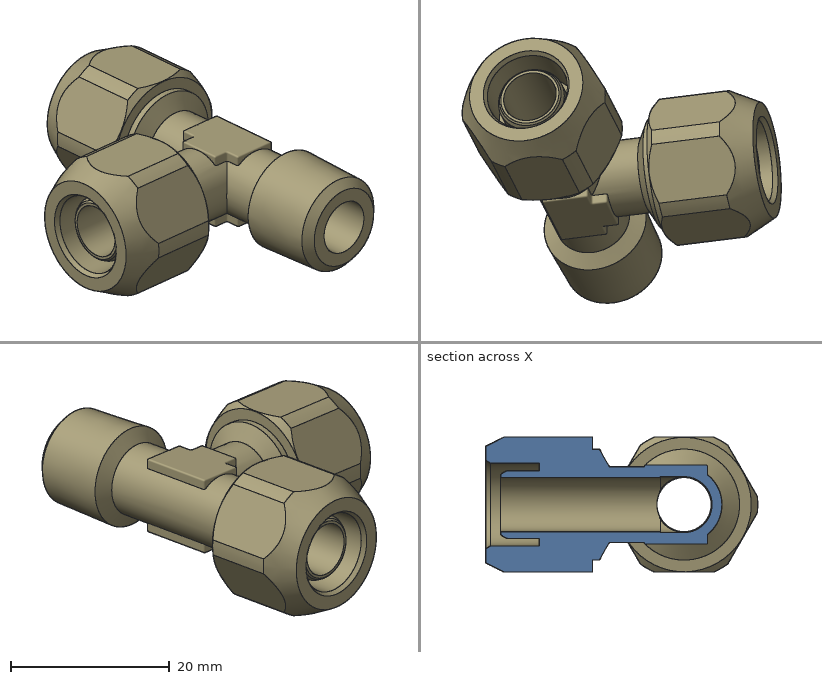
import cadquery as cq

overall_length = 46.0
compression_reach = 25.0
thread_reach = overall_length - compression_reach
pipe_radius = 4.8

thread_bore_radius = 3.5
spigot_bore_radius = 3.4
crossing_reach = 3.0

nut_length = 13.5
nut_across_flats = 17.0
nut_corner_radius = 9.3
nut_face_radius = 7.35
nut_taper_length = 3.85
nut_back_chamfer = 0.85
mouth_radius = 5.2
mouth_chamfer_width = 0.35
mouth_chamfer_depth = 0.6

collar_radius = 7.0
collar_length = 0.87
collar_taper_length = 1.25

spigot_recess = 1.9
spigot_root_radius = 4.3
spigot_shoulder_radius = 4.0
spigot_tip_chamfer = 0.25
spigot_taper_length = 0.55
socket_depth = nut_length / 2

thread_shoulder_start = 9.4
thread_start = 10.55
thread_root_radius = 6.62
thread_chamfer = 1.1
thread_taper = 1 / 32

pad_half_length = 5.0
pad_half_width = 3.0
pad_height = pad_half_length
pad_edge_radius = 0.25


def revolve_about_x(points):
    """Revolve a closed (axial position, radius) outline about the X axis."""
    return cq.Workplane("XY").polyline(points).close().revolve(360, (0, 0, 0), (1, 0, 0))


def cylinder_along_x(radius, start, end):
    return cq.Workplane("YZ").workplane(offset=start).circle(radius).extrude(end - start)


def make_nut():
    """Solid hexagonal nut, with its front face at the compression reach."""
    front = compression_reach
    back = front - nut_length
    envelope = revolve_about_x([
        (back, 0),
        (back, nut_corner_radius - nut_back_chamfer),
        (back + nut_back_chamfer, nut_corner_radius),
        (front - nut_taper_length, nut_corner_radius),
        (front, nut_face_radius),
        (front, 0),
    ])
    hexagon = (
        cq.Workplane("YZ", origin=(back, 0, 0)).transformed(rotate=(0, 0, 30))
        .polygon(6, nut_across_flats, circumscribed=True).extrude(nut_length)
    )
    return envelope.intersect(hexagon)


def make_socket():
    """Annular space around the spigot, open at the nut face."""
    front = compression_reach
    floor = front - socket_depth
    tip = front - spigot_recess
    shoulder = tip - spigot_tip_chamfer
    return revolve_about_x([
        (floor, spigot_root_radius),
        (floor, mouth_radius),
        (front - mouth_chamfer_depth, mouth_radius),
        (front, mouth_radius + mouth_chamfer_width),
        (front, 0),
        (tip, 0),
        (tip, spigot_shoulder_radius - spigot_tip_chamfer),
        (shoulder, spigot_shoulder_radius),
        (shoulder - spigot_taper_length, spigot_root_radius),
    ])


def make_compression_arm():
    """Pipe, collar and nut of one hose connection, pointing along +X."""
    nut_back = compression_reach - nut_length
    collar_start = nut_back - collar_length
    neck = revolve_about_x([
        (0, 0),
        (0, pipe_radius),
        (collar_start - collar_taper_length, pipe_radius),
        (collar_start, collar_radius),
        (nut_back, collar_radius),
        (nut_back, 0),
    ])
    return neck.union(make_nut()).cut(make_socket())


def make_thread_arm():
    """Pipe and tapered thread body, pointing along +X."""
    chamfer_start = thread_reach - thread_chamfer
    tip_radius = thread_root_radius - thread_taper * (chamfer_start - thread_start)
    return revolve_about_x([
        (0, 0),
        (0, pipe_radius),
        (thread_shoulder_start, pipe_radius),
        (thread_start, thread_root_radius),
        (chamfer_start, tip_radius),
        (thread_reach, tip_radius - thread_chamfer),
        (thread_reach, 0),
    ])


def make_pads():
    """T-shaped block whose top and bottom stand proud of the pipes."""
    outline = [
        (-pad_half_length, pad_half_width),
        (pad_half_length, pad_half_width),
        (pad_half_length, -pad_half_width),
        (pad_half_width, -pad_half_width),
        (pad_half_width, -pad_half_length),
        (-pad_half_width, -pad_half_length),
        (-pad_half_width, -pad_half_width),
        (-pad_half_length, -pad_half_width),
    ]
    block = cq.Workplane("XY").polyline(outline).close().extrude(pad_height, both=True)
    return block.edges().fillet(pad_edge_radius)


def make_compression_bore():
    """Stepped passage from the crossing out through the spigot, along +X."""
    crossing = cylinder_along_x(thread_bore_radius, 0, crossing_reach)
    return crossing.union(cylinder_along_x(spigot_bore_radius, crossing_reach, compression_reach))


def on_run(shape):
    """Turn a shape from +X to -X."""
    return shape.rotate((0, 0, 0), (0, 0, 1), 180)


def on_branch(shape):
    """Turn a shape from +X to -Y."""
    return shape.rotate((0, 0, 0), (0, 0, 1), -90)


compression_arm = make_compression_arm()
compression_bore = make_compression_bore()

body = (
    make_thread_arm()
    .union(on_run(compression_arm))
    .union(on_branch(compression_arm))
    .union(make_pads())
)
result = (
    body.cut(cylinder_along_x(thread_bore_radius, 0, thread_reach))
    .cut(on_run(compression_bore))
    .cut(on_branch(compression_bore))
)